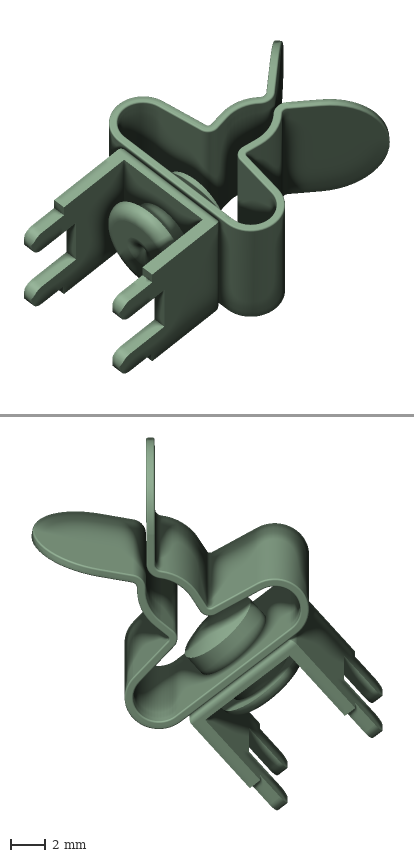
import cadquery as cq
import math


WIDTH = 8.0
HALF_WIDTH = WIDTH / 2
SHAFT_RADIUS = 2.1

CLIP_THICKNESS = 0.5
HALF_THICKNESS = CLIP_THICKNESS / 2
CLIP_EDGE_FILLET = 0.099
CLIP_TOP = 13.55
LOOP_OUTER_RADIUS = 2.0
LOOP_RADIUS = LOOP_OUTER_RADIUS - HALF_THICKNESS
LOOP_CENTER = (4.4, LOOP_OUTER_RADIUS)
SHOULDER_TILT = math.radians(9)
CORNER_RADIUS = 0.2 + HALF_THICKNESS
NECK_RADIUS = 2.5 + HALF_THICKNESS
NECK_CENTER = (-1.32, 6.13)
THROAT_RADIUS = 0.4 + HALF_THICKNESS
THROAT_GAP = 0.6
JAW_TILT = math.radians(39.5)
JAW_DIRECTION = (math.sin(JAW_TILT), math.cos(JAW_TILT))

BRACKET_THICKNESS = 0.8
WEB_FILLET = 0.5
LEG_END = -5.8
SLOT_BOTTOM = -4.79
PIN_TIP = -8.4
PIN_WIDTH = 1.58
PIN_SPACING = 4.96
PIN_TIP_FILLET = 0.2

DOME_RADIUS = 2.5
DOME_EDGE = 1.9
DOME_TOP = 2.5
ROUND_HEAD_RADIUS = 3.0
ROUND_HEAD_HEIGHT = 0.8
ROUND_HEAD_START = -2.0
DIMPLE_RADIUS = 1.0


def polar(center, radius, angle):
    """Point on a circle, with the angle measured from +X."""
    return (center[0] + radius * math.cos(angle), center[1] + radius * math.sin(angle))


def arc_to(path, center, radius, start, end):
    """Continue a path along a circle from one angle to another."""
    return path.threePointArc(polar(center, radius, (start + end) / 2), polar(center, radius, end))


def block(x_size, z_size, bottom, top):
    """Box centred on the Y axis between two heights along Y."""
    return cq.Workplane("XZ", origin=(0, top, 0)).rect(x_size, z_size).extrude(top - bottom)


def shaft_hole(bottom, top):
    """Room for the rivet shaft between two heights along Y."""
    return cq.Workplane("XZ", origin=(0, top, 0)).circle(SHAFT_RADIUS).extrude(top - bottom)



def shoulder_corner(shoulder_start, neck_start):
    """Centre of the bend where the shoulder meets the neck at a right angle."""
    shoulder = (-math.cos(SHOULDER_TILT), math.sin(SHOULDER_TILT))
    neck = (math.sin(SHOULDER_TILT), math.cos(SHOULDER_TILT))
    span = (neck_start[0] - shoulder_start[0], neck_start[1] - shoulder_start[1])
    reach = span[0] * shoulder[0] + span[1] * shoulder[1] - CORNER_RADIUS
    return (
        shoulder_start[0] + reach * shoulder[0] + CORNER_RADIUS * neck[0],
        shoulder_start[1] + reach * shoulder[1] + CORNER_RADIUS * neck[1],
    )


def jaw_tip(jaw_start):
    """End of the jaw's centre line, placed so that the filleted tip reaches CLIP_TOP."""
    tip_y = (
        CLIP_TOP
        - CLIP_EDGE_FILLET * (1 - math.cos(JAW_TILT))
        - (HALF_THICKNESS - CLIP_EDGE_FILLET) * math.sin(JAW_TILT)
    )
    return (jaw_start[0] + (tip_y - jaw_start[1]) * math.tan(JAW_TILT), tip_y)


bend_distance = NECK_RADIUS + THROAT_RADIUS
throat_x = THROAT_GAP / 2 + HALF_THICKNESS + THROAT_RADIUS
NECK_END = math.acos((throat_x - NECK_CENTER[0]) / bend_distance)
THROAT_CENTER = polar(NECK_CENTER, bend_distance, NECK_END)
JAW_TIP = jaw_tip(polar(THROAT_CENTER, THROAT_RADIUS, math.pi - JAW_TILT))


def clip_center_line():
    """Centre line of the right half, from the middle of the base to the jaw tip."""
    loop_start = -math.pi / 2
    loop_end = math.pi / 2 - SHOULDER_TILT
    shoulder_start = polar(LOOP_CENTER, LOOP_RADIUS, loop_end)
    neck_start = polar(NECK_CENTER, NECK_RADIUS, -SHOULDER_TILT)
    corner_center = shoulder_corner(shoulder_start, neck_start)
    corner_start = math.pi + loop_end
    corner_end = math.pi - SHOULDER_TILT

    path = cq.Workplane("XY").moveTo(0, HALF_THICKNESS).lineTo(LOOP_CENTER[0], HALF_THICKNESS)
    path = arc_to(path, LOOP_CENTER, LOOP_RADIUS, loop_start, loop_end)
    path = path.lineTo(*polar(corner_center, CORNER_RADIUS, corner_start))
    path = arc_to(path, corner_center, CORNER_RADIUS, corner_start, corner_end)
    path = path.lineTo(*neck_start)
    path = arc_to(path, NECK_CENTER, NECK_RADIUS, -SHOULDER_TILT, NECK_END)
    path = arc_to(path, THROAT_CENTER, THROAT_RADIUS, math.pi + NECK_END, math.pi - JAW_TILT)
    return path.lineTo(*JAW_TIP)


def jaw_tip_waste():
    """Everything outside the half circle, seen square to the jaw, that ends the right jaw."""
    jaw_plane = cq.Plane(
        origin=(JAW_TIP[0], JAW_TIP[1], 0),
        xDir=(JAW_DIRECTION[0], JAW_DIRECTION[1], 0),
        normal=(JAW_DIRECTION[1], -JAW_DIRECTION[0], 0),
    )
    waste = cq.Workplane(jaw_plane).rect(WIDTH, 2 * WIDTH).extrude(CLIP_THICKNESS, both=True)
    kept = cq.Workplane(jaw_plane).center(-HALF_WIDTH, 0).circle(HALF_WIDTH)
    return waste.cut(kept.extrude(CLIP_THICKNESS, both=True))


def make_clip():
    half = clip_center_line().offset2D(HALF_THICKNESS).extrude(HALF_WIDTH, both=True)
    half = half.cut(jaw_tip_waste())
    clip = half.union(half.mirror("YZ"))
    clip = clip.faces(">Z or <Z").edges().fillet(CLIP_EDGE_FILLET)
    return clip.cut(shaft_hole(0, CLIP_THICKNESS))



def make_pin(x, z):
    """Pin from the slot bottom to the tip, with a half-round end and eased tip edges."""
    pin = block(BRACKET_THICKNESS, PIN_WIDTH, PIN_TIP, SLOT_BOTTOM)
    pin = pin.faces("<Y").edges("|Z").fillet(PIN_TIP_FILLET)
    pin_radius = PIN_WIDTH / 2
    round_start = PIN_TIP + pin_radius
    outline = (
        cq.Workplane("YZ")
        .moveTo(SLOT_BOTTOM, -pin_radius)
        .lineTo(round_start, -pin_radius)
        .threePointArc((PIN_TIP, 0), (round_start, pin_radius))
        .lineTo(SLOT_BOTTOM, pin_radius)
        .close()
    )
    pin = pin.intersect(outline.extrude(BRACKET_THICKNESS, both=True))
    return pin.translate((x, 0, z))


def make_bracket():
    bracket = block(WIDTH, WIDTH, LEG_END, 0).faces(">Y").edges().fillet(WEB_FILLET)
    channel_width = WIDTH - 2 * BRACKET_THICKNESS
    bracket = bracket.cut(block(channel_width, WIDTH, LEG_END, -BRACKET_THICKNESS))
    bracket = bracket.cut(block(WIDTH, PIN_SPACING - PIN_WIDTH, LEG_END, SLOT_BOTTOM))
    pin_x = (WIDTH - BRACKET_THICKNESS) / 2
    pin_z = PIN_SPACING / 2
    for x in (-pin_x, pin_x):
        for z in (-pin_z, pin_z):
            bracket = bracket.union(make_pin(x, z))
    return bracket.cut(shaft_hole(-BRACKET_THICKNESS, 0))



def make_rivet():
    """Half section turned about the Y axis, from the flared dimple up to the dome."""
    head_end = ROUND_HEAD_START - ROUND_HEAD_HEIGHT
    dome_height = DOME_TOP - DOME_EDGE
    dome_curve = (DOME_RADIUS**2 + dome_height**2) / (2 * dome_height)
    section = (
        cq.Workplane("XY")
        .moveTo(0, head_end + DIMPLE_RADIUS)
        .radiusArc((DIMPLE_RADIUS, head_end), -DIMPLE_RADIUS)
        .lineTo(ROUND_HEAD_RADIUS - ROUND_HEAD_HEIGHT, head_end)
        .radiusArc((ROUND_HEAD_RADIUS, ROUND_HEAD_START), -ROUND_HEAD_HEIGHT)
        .lineTo(SHAFT_RADIUS, ROUND_HEAD_START)
        .lineTo(SHAFT_RADIUS, CLIP_THICKNESS)
        .lineTo(DOME_RADIUS, CLIP_THICKNESS)
        .lineTo(DOME_RADIUS, DOME_EDGE)
        .radiusArc((0, DOME_TOP), -dome_curve)
        .close()
    )
    return section.revolve(360, (0, 0, 0), (0, 1, 0))


clip = make_clip()
bracket = make_bracket()
rivet = make_rivet()
bodies = [body.solids().val() for body in (clip, bracket, rivet)]
result = cq.Compound.makeCompound(bodies)